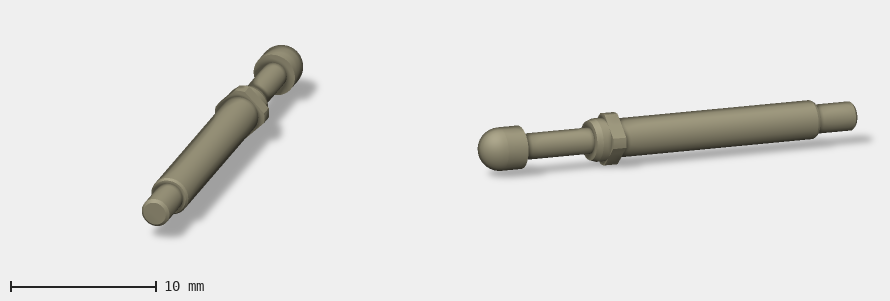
import cadquery as cq
import math

total_length = 28.3
head_length = 3.0
stem_length = 5.3
collar_length = 1.02
flange_thickness = 1.0
tail_length = 3.0

head_diameter = 3.0
stem_diameter = 1.8
body_diameter = 2.7
tail_diameter = 2.0

flange_across_flats = 3.0
flange_turn = 45
flange_across_corners = 3.6

collar_bevel_length = 0.42
collar_bevel_depth = 0.15
body_bevel_length = 0.2
body_bevel_depth = 0.1
tail_bevel = 0.2

tip_y = total_length / 2
tail_y = -total_length / 2
head_radius = head_diameter / 2
stem_radius = stem_diameter / 2
body_radius = body_diameter / 2
tail_radius = tail_diameter / 2
collar_radius = head_radius

dome_base_y = tip_y - head_radius
head_base_y = tip_y - head_length
collar_top_y = head_base_y - stem_length
flange_top_y = collar_top_y - collar_length
body_end_y = tail_y + tail_length


def turned_pin():
    """Revolve the half profile of head, stem, collar, body and tail about Y."""
    dome_offset = head_radius * math.cos(math.radians(45))
    dome_middle = (dome_offset, dome_base_y + dome_offset)
    profile = (
        cq.Workplane("XY")
        .moveTo(0, tip_y)
        .threePointArc(dome_middle, (head_radius, dome_base_y))
        .lineTo(head_radius, head_base_y)
        .lineTo(stem_radius, head_base_y)
        .lineTo(stem_radius, collar_top_y)
        .lineTo(collar_radius - collar_bevel_depth, collar_top_y)
        .lineTo(collar_radius, collar_top_y - collar_bevel_length)
        .lineTo(collar_radius, flange_top_y)
        .lineTo(body_radius, flange_top_y)
        .lineTo(body_radius, body_end_y + body_bevel_length)
        .lineTo(body_radius - body_bevel_depth, body_end_y)
        .lineTo(tail_radius, body_end_y)
        .lineTo(tail_radius, tail_y + tail_bevel)
        .lineTo(tail_radius - tail_bevel, tail_y)
        .lineTo(0, tail_y)
        .close()
    )
    return profile.revolve(360, (0, 0, 0), (0, 1, 0))


def square_flange():
    """Square plate with its corners up, down, left and right, trimmed to a circle."""
    plane = cq.Workplane("XZ", origin=(0, flange_top_y, 0))
    square = plane.rect(flange_across_flats, flange_across_flats).extrude(flange_thickness)
    square = square.rotate((0, 0, 0), (0, 1, 0), flange_turn)
    disc = plane.circle(flange_across_corners / 2).extrude(flange_thickness)
    return square.intersect(disc)


result = turned_pin().union(square_flange())